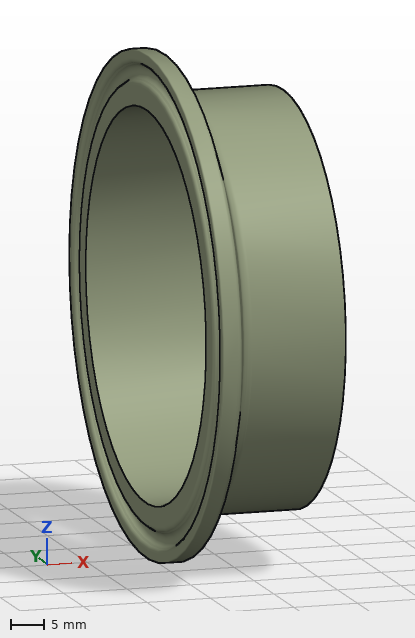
import cadquery as cq
import math

length = 21.5
flange_radius = 38.75
tube_radius = 32.0
bore_radius = 30.2

taper_angle = math.radians(20)
rim_edge_radius = 0.2
rim_end = 2.4
rim_back_radius = 0.8
neck_radius = 1.9

groove_center_radius = 35.35
groove_half_width = 2.0
groove_depth = 1.55
groove_bottom_radius = 1.2
groove_lip_radius = 0.8
flank_angle = math.radians(70)


def on_arc(center, radius, angle):
    """Point on a circle, with the angle measured from the radial direction toward +X."""
    return (center[0] + radius * math.sin(angle), center[1] + radius * math.cos(angle))


def make_body():
    turn = math.pi / 2 - taper_angle
    rim_center = (rim_end, flange_radius - rim_back_radius)
    taper_start = on_arc(rim_center, rim_back_radius, turn)

    neck_center_radius = tube_radius + neck_radius
    taper_end_radius = neck_center_radius - neck_radius * math.cos(turn)
    taper_end_x = taper_start[0] + (taper_start[1] - taper_end_radius) * math.tan(taper_angle)
    neck_center = (taper_end_x + neck_radius * math.sin(turn), neck_center_radius)

    edge_center = (rim_edge_radius, flange_radius - rim_edge_radius)
    return (
        cq.Workplane("XY")
        .moveTo(0, bore_radius)
        .lineTo(0, edge_center[1])
        .threePointArc(on_arc(edge_center, rim_edge_radius, -math.pi / 4), (rim_edge_radius, flange_radius))
        .lineTo(rim_end, flange_radius)
        .threePointArc(on_arc(rim_center, rim_back_radius, turn / 2), taper_start)
        .lineTo(taper_end_x, taper_end_radius)
        .threePointArc(
            on_arc(neck_center, neck_radius, math.pi + turn / 2),
            (neck_center[0], tube_radius),
        )
        .lineTo(length, tube_radius)
        .lineTo(length, bore_radius)
        .close()
        .revolve(360, (0, 0, 0), (1, 0, 0))
    )


def make_groove():
    bottom_half_width = groove_bottom_radius * math.sin(flank_angle)
    flank_end_x = groove_depth - groove_bottom_radius * (1 - math.cos(flank_angle))

    def lip_point(angle, side):
        """Point on a lip, turned by the angle from the gasket face into the groove."""
        drop = groove_lip_radius * (1 - math.cos(angle))
        offset = groove_half_width - groove_lip_radius * math.sin(angle)
        return (drop, groove_center_radius + side * offset)

    outer, inner = 1, -1
    return (
        cq.Workplane("XY")
        .moveTo(*lip_point(0, inner))
        .threePointArc(lip_point(flank_angle / 2, inner), lip_point(flank_angle, inner))
        .lineTo(flank_end_x, groove_center_radius - bottom_half_width)
        .threePointArc(
            (groove_depth, groove_center_radius),
            (flank_end_x, groove_center_radius + bottom_half_width),
        )
        .lineTo(*lip_point(flank_angle, outer))
        .threePointArc(lip_point(flank_angle / 2, outer), lip_point(0, outer))
        .close()
        .revolve(360, (0, 0, 0), (1, 0, 0))
    )


result = make_body().cut(make_groove())